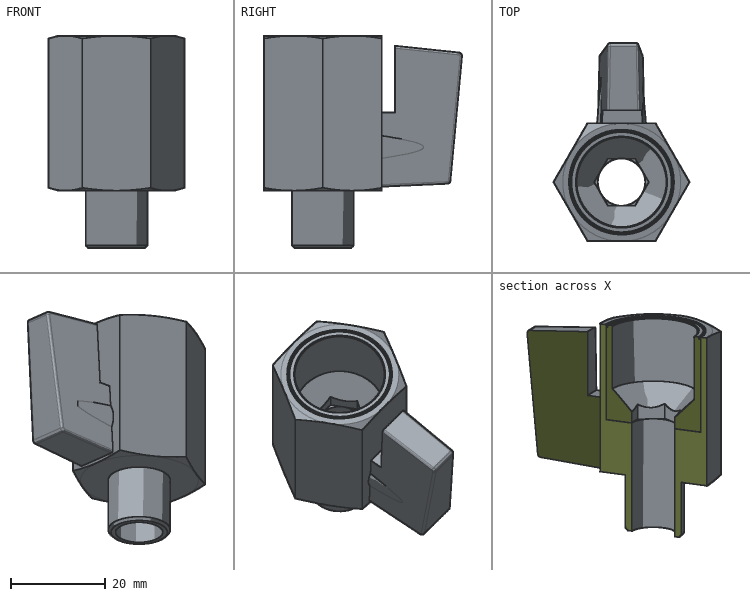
import cadquery as cq
import math

HEX_FLATS = 25.0
HEX_CORNERS = HEX_FLATS / math.cos(math.radians(30))
TOTAL_HEIGHT = 45.0
HEX_HEIGHT = 32.8
HEX_CHAMFER_ANGLE = 17.0
TURNING_MARGIN = 1.0
SPIGOT_DIAMETER = 13.16
SPIGOT_LENGTH = TOTAL_HEIGHT - HEX_HEIGHT
SPIGOT_CHAMFER = 0.6
PASSAGE_DIAMETER = 10.0
SEAT_DIAMETER = 22.0
SEAT_CHAMFER = 0.15

INSERT_HEIGHT = 21.0
INSERT_LIP_DIAMETER = 21.5
INSERT_LIP_HEIGHT = 0.5
INSERT_CHAMFER = 0.15
BORE_DIAMETER = 19.0
BORE_DEPTH = 14.0
BORE_CHAMFER = 0.2
BORE_FLOOR_ANGLE = 45.0
KEY_FLATS = 10.0
KEY_CORNERS = KEY_FLATS / math.cos(math.radians(30))

HANDLE_ROOT_Y = HEX_FLATS / 2
HANDLE_TIP_Y = 29.59
HANDLE_LOW_TIP_Y = 27.0
ROOT_TOP_Z = 31.0
ROOT_BOTTOM_Z = 0.8
TIP_TOP_Z = 29.2
TIP_BOTTOM_Z = 1.45
NOTCH_DEPTH = 2.75
NOTCH_BOTTOM_Z = 16.6
OUTLINE_RADIUS = 0.8
EDGE_RADIUS = 0.5

LEFT_TOP = 2.85
LEFT_BOTTOM = 4.65
RIGHT_TOP = 3.55
RIGHT_BOTTOM = 4.5
ROOT_WIDENING = 0.4

HUB_Z = 9.1
HUB_LENGTH = 9.57
HUB_ROOT_RADIUS = 5.21
HUB_TIP_RADIUS = 4.36


def double_chamfered_hexagon():
    """Hexagonal prism whose corners are turned down to a cone at both ends."""
    flat_radius = HEX_FLATS / 2
    cone_reach = HEX_CORNERS / 2 + TURNING_MARGIN
    drop = (cone_reach - flat_radius) * math.tan(math.radians(HEX_CHAMFER_ANGLE))
    prism = cq.Workplane("XY").polygon(6, HEX_CORNERS).extrude(HEX_HEIGHT)
    turned = (
        cq.Workplane("XZ")
        .moveTo(0, 0)
        .lineTo(flat_radius, 0)
        .lineTo(cone_reach, drop)
        .lineTo(cone_reach, HEX_HEIGHT - drop)
        .lineTo(flat_radius, HEX_HEIGHT)
        .lineTo(0, HEX_HEIGHT)
        .close()
        .revolve(360, (0, 0, 0), (0, 1, 0))
    )
    return prism.intersect(turned)


def make_housing():
    spigot = (
        cq.Workplane("XY")
        .circle(SPIGOT_DIAMETER / 2)
        .extrude(-SPIGOT_LENGTH)
        .faces("<Z")
        .chamfer(SPIGOT_CHAMFER)
    )
    passage = (
        cq.Workplane("XY")
        .workplane(offset=-SPIGOT_LENGTH)
        .circle(PASSAGE_DIAMETER / 2)
        .extrude(TOTAL_HEIGHT)
    )
    seat = (
        cq.Workplane("XY")
        .workplane(offset=HEX_HEIGHT)
        .circle(SEAT_DIAMETER / 2)
        .extrude(-INSERT_HEIGHT)
    )
    housing = double_chamfered_hexagon().union(spigot).cut(passage).cut(seat)
    mouth = cq.selectors.RadiusNthSelector(0)
    return housing.faces(">Z").edges("%CIRCLE").edges(mouth).chamfer(SEAT_CHAMFER)


def make_insert():
    """Turned sleeve seated in the housing, with a hexagonal key socket through its floor."""
    base_z = HEX_HEIGHT - INSERT_HEIGHT
    lip_z = HEX_HEIGHT - INSERT_LIP_HEIGHT
    bore_floor_z = HEX_HEIGHT - BORE_DEPTH
    seat_radius = SEAT_DIAMETER / 2
    lip_radius = INSERT_LIP_DIAMETER / 2
    bore_radius = BORE_DIAMETER / 2
    cone_tip_radius = KEY_FLATS / 2
    cone_depth = (bore_radius - cone_tip_radius) * math.tan(math.radians(BORE_FLOOR_ANGLE))
    sleeve = (
        cq.Workplane("XZ")
        .moveTo(cone_tip_radius, base_z)
        .lineTo(seat_radius, base_z)
        .lineTo(seat_radius, lip_z)
        .lineTo(lip_radius, lip_z)
        .lineTo(lip_radius, HEX_HEIGHT - INSERT_CHAMFER)
        .lineTo(lip_radius - INSERT_CHAMFER, HEX_HEIGHT)
        .lineTo(bore_radius + BORE_CHAMFER, HEX_HEIGHT)
        .lineTo(bore_radius, HEX_HEIGHT - BORE_CHAMFER)
        .lineTo(bore_radius, bore_floor_z)
        .lineTo(cone_tip_radius, bore_floor_z - cone_depth)
        .close()
        .revolve(360, (0, 0, 0), (0, 1, 0))
    )
    key = (
        cq.Workplane("XY")
        .workplane(offset=base_z)
        .polygon(6, KEY_CORNERS)
        .extrude(INSERT_HEIGHT)
    )
    return sleeve.cut(key)


def draft_section(y, widening):
    """Trapezoid across the plate at one Y, spanning the whole housing height."""
    def side_reach(top, bottom, z):
        slope = (bottom - top) / (TIP_TOP_Z - TIP_BOTTOM_Z)
        return top + slope * (TIP_TOP_Z - z) + widening

    corners = [
        cq.Vector(-side_reach(LEFT_TOP, LEFT_BOTTOM, 0), y, 0),
        cq.Vector(side_reach(RIGHT_TOP, RIGHT_BOTTOM, 0), y, 0),
        cq.Vector(side_reach(RIGHT_TOP, RIGHT_BOTTOM, HEX_HEIGHT), y, HEX_HEIGHT),
        cq.Vector(-side_reach(LEFT_TOP, LEFT_BOTTOM, HEX_HEIGHT), y, HEX_HEIGHT),
    ]
    return cq.Wire.makePolygon(corners, close=True)


def make_handle():
    outline = (
        cq.Workplane("YZ")
        .polyline([
            (HANDLE_ROOT_Y, ROOT_BOTTOM_Z),
            (HANDLE_LOW_TIP_Y, TIP_BOTTOM_Z),
            (HANDLE_TIP_Y, TIP_TOP_Z),
            (HANDLE_ROOT_Y, ROOT_TOP_Z),
        ])
        .close()
        .extrude(HEX_FLATS / 2, both=True)
        .edges("|X")
        .edges("not <Y")
        .fillet(OUTLINE_RADIUS)
    )
    root = draft_section(HANDLE_ROOT_Y, ROOT_WIDENING)
    tip = draft_section(HANDLE_TIP_Y, 0)
    drafted = cq.Workplane(obj=cq.Solid.makeLoft([root, tip], True))
    plate = drafted.intersect(outline)
    plate = plate.faces("<X or >X").edges("not <Y").fillet(EDGE_RADIUS)

    notch = cq.Workplane("XY").box(
        HEX_FLATS, NOTCH_DEPTH, HEX_HEIGHT, centered=(True, False, False)
    ).translate((0, HANDLE_ROOT_Y, NOTCH_BOTTOM_Z))
    hub = cq.Workplane(obj=cq.Solid.makeCone(
        HUB_ROOT_RADIUS, HUB_TIP_RADIUS, HUB_LENGTH,
        cq.Vector(0, HANDLE_ROOT_Y, HUB_Z), cq.Vector(0, 1, 0),
    ))
    return plate.cut(notch).union(hub)


housing = make_housing().solids()
insert = make_insert().solids()
handle = make_handle().solids()

result = cq.Compound.makeCompound([housing.val(), insert.val(), handle.val()])